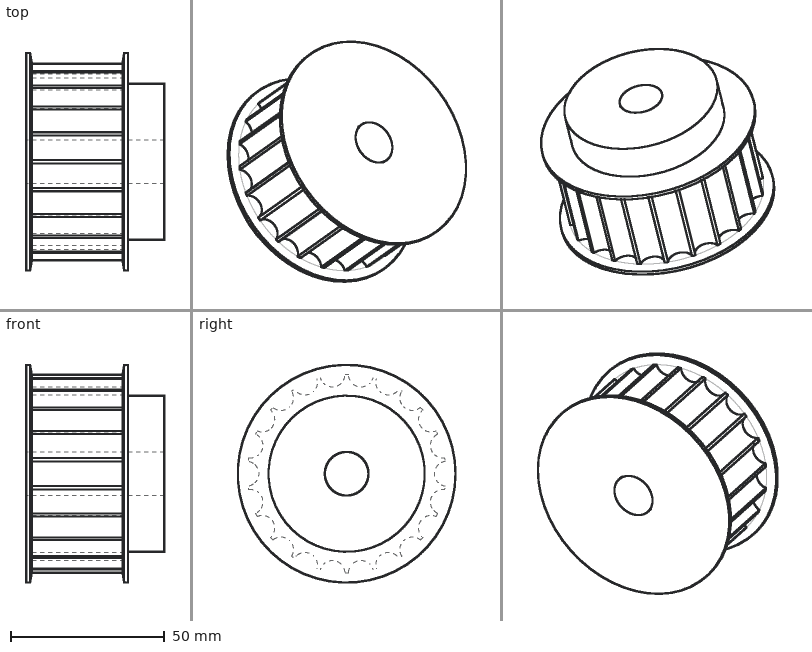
import cadquery as cq
import math

tooth_count = 22
tooth_tip_diameter = 64.42
tooth_land_width = 1.15
groove_radius = 4.06

flange_diameter = 70.77
flange_rim_width = 1.25
flange_cone_width = 0.55
flange_to_flange_width = 33.05

overall_length = 44.82
hub_diameter = 50.7
bore_diameter = 14.1

tip_radius = tooth_tip_diameter / 2
flange_radius = flange_diameter / 2
flange_width = flange_rim_width + flange_cone_width
tooth_length = flange_to_flange_width - 2 * flange_width
tooth_pitch_angle = 360 / tooth_count
groove_half_angle = math.radians(tooth_pitch_angle / 2) - math.asin(tooth_land_width / 2 / tip_radius)
groove_half_width = tip_radius * math.sin(groove_half_angle)
groove_edge_height = tip_radius * math.cos(groove_half_angle)
groove_center_radius = groove_edge_height + math.sqrt(groove_radius**2 - groove_half_width**2)


def make_blank():
    """Revolve the two flanges, the plain tooth band and the hub around the X axis."""
    right_cone_start = flange_to_flange_width - flange_width
    profile = [
        (0, 0),
        (0, flange_radius),
        (flange_rim_width, flange_radius),
        (flange_width, tip_radius),
        (right_cone_start, tip_radius),
        (right_cone_start + flange_cone_width, flange_radius),
        (flange_to_flange_width, flange_radius),
        (flange_to_flange_width, hub_diameter / 2),
        (overall_length, hub_diameter / 2),
        (overall_length, 0),
    ]
    return cq.Workplane("XY").polyline(profile).close().revolve(360, (0, 0, 0), (1, 0, 0))


def make_grooves():
    """Round grooves between the teeth, confined to the band between the flanges."""
    cutters = (
        cq.Workplane("YZ", origin=(flange_width, 0, 0))
        .polarArray(groove_center_radius, 90 + tooth_pitch_angle / 2, 360, tooth_count)
        .circle(groove_radius)
        .extrude(tooth_length)
    )
    tooth_band = cq.Workplane("YZ", origin=(flange_width, 0, 0)).circle(tip_radius).extrude(tooth_length)
    return tooth_band.intersect(cutters)


def make_bore():
    """Bore through the full length of the pulley."""
    return cq.Workplane("YZ").circle(bore_diameter / 2).extrude(overall_length)


result = make_blank().cut(make_grooves()).cut(make_bore())